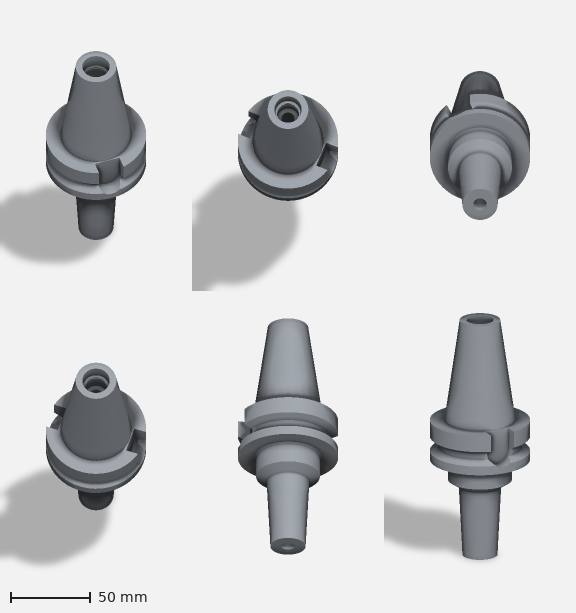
import cadquery as cq

total_height = 155.4
gauge_height = 90.0
flange_top = 89.2
flange_bottom = 63.1
groove_upper_edge = 78.5
groove_lower_edge = 68.8
groove_slope_height = 2.8
neck_top = 61.8
neck_bottom = 49.7
nose_top = 45.4

flange_radius = 63.0 / 2
groove_radius = 26.4
taper_large_radius = 22.2
taper_small_radius = 12.7
neck_radius = 20.0
neck_relief = 1.2
nose_large_radius = 13.4
nose_tip_radius = 11.0

through_radius = 4.2
socket_radius = 8.5
socket_depth = 9.0
step_radius = 7.1
step_depth = 0.8
inner_bore_radius = 6.8
inner_bore_depth = 20.2

slot_width = 16.2
slot_bottom = 67.1
slot_floor_x = 22.5


def make_body():
    """Revolve the taper, grooved flange, neck and nose about Z."""
    profile = [
        (0, 0),
        (nose_tip_radius, 0),
        (nose_large_radius, nose_top),
        (neck_radius, neck_bottom),
        (neck_radius, neck_top),
        (neck_radius + neck_relief, flange_bottom),
        (flange_radius, flange_bottom),
        (flange_radius, groove_lower_edge),
        (groove_radius, groove_lower_edge + groove_slope_height),
        (groove_radius, groove_upper_edge - groove_slope_height),
        (flange_radius, groove_upper_edge),
        (flange_radius, flange_top),
        (taper_large_radius, flange_top),
        (taper_large_radius, gauge_height),
        (taper_small_radius, total_height),
        (0, total_height),
    ]
    return cq.Workplane("XZ").polyline(profile).close().revolve(360, (0, 0), (0, 1))


def bore_from_top(radius, depth):
    return cq.Workplane("XY").workplane(offset=total_height - depth).circle(radius).extrude(depth)


def make_slot(side):
    """Round-bottomed drive slot, open at the flange top; side is -1 or +1 along X."""
    half_width = slot_width / 2
    arc_center_height = slot_bottom + half_width
    return (
        cq.Workplane("YZ", origin=(side * slot_floor_x, 0, 0))
        .moveTo(-half_width, flange_top)
        .lineTo(-half_width, arc_center_height)
        .threePointArc((0, slot_bottom), (half_width, arc_center_height))
        .lineTo(half_width, flange_top)
        .close()
        .extrude(side * flange_radius)
    )


result = make_body()

bore_steps = [
    (through_radius, total_height),
    (socket_radius, socket_depth),
    (step_radius, socket_depth + step_depth),
    (inner_bore_radius, inner_bore_depth),
]
for bore_radius, bore_depth in bore_steps:
    result = result.cut(bore_from_top(bore_radius, bore_depth))

for slot_side in (-1, 1):
    result = result.cut(make_slot(slot_side))